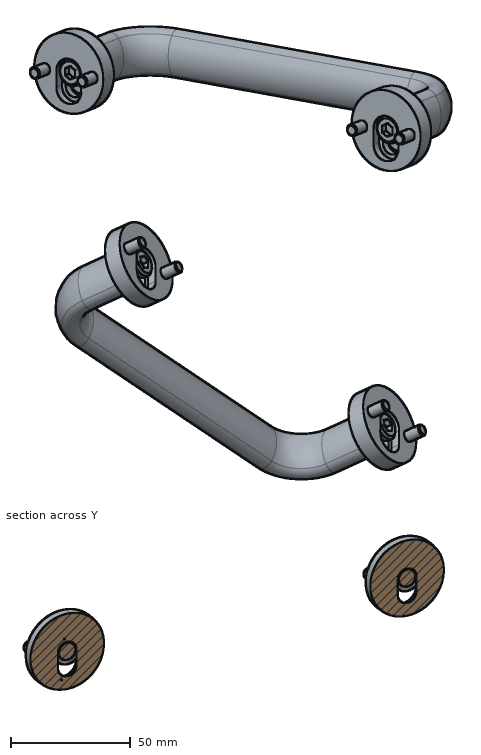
import cadquery as cq
import math

OVERALL_LENGTH = 195.0
OVERALL_DEPTH = 66.0
PLATE_DIAMETER = 35.0
PLATE_THICKNESS = 8.0
PIN_LENGTH = 8.0
HALF_SPACING = (OVERALL_LENGTH - PLATE_DIAMETER) / 2

GRIP_THICKNESS = 13.0
GRIP_HEIGHT = 21.0
GRIP_END_RADIUS = 4.7
BEND_RADIUS = 19.9
GRIP_AXIS_Y = OVERALL_DEPTH - PIN_LENGTH - GRIP_THICKNESS / 2

PIN_DIAMETER = 5.0
PIN_TIP_CHAMFER = 0.49
PIN_SPACING = 24.0

SLOT_TRAVEL = 7.0
SLOT_WIDTH = 8.5
SLOT_RECESS_WIDTH = 12.5
SLOT_RECESS_DEPTH = 4.0

HEAD_DIAMETER = 12.0
HEAD_FACE_DIAMETER = 10.0
HEAD_INSET = 1.0
SHANK_DIAMETER = 8.0
SOCKET_ACROSS_FLATS = 5.0
SOCKET_DEPTH = 3.0


def facing_wall(y):
    """Workplane at height y whose normal points to +Y; local x is X and local y is -Z."""
    return cq.Workplane("XZ", origin=(0, y, 0)).transformed(rotate=(180, 0, 0))


def cylinder(x, y_start, y_end, diameter):
    """Cylinder along +Y, centred on Z = 0."""
    return facing_wall(y_start).center(x, 0).circle(diameter / 2).extrude(y_end - y_start)


def oval_section(x, y):
    """Four-arc oval, thin along X and tall along Z, on a plane facing +Y."""
    half_thickness = GRIP_THICKNESS / 2
    half_height = GRIP_HEIGHT / 2
    end_centre = half_height - GRIP_END_RADIUS
    side_radius = (half_thickness**2 + end_centre**2 - GRIP_END_RADIUS**2) / (
        2 * (half_thickness - GRIP_END_RADIUS)
    )
    centre_distance = side_radius - GRIP_END_RADIUS
    joint_x = GRIP_END_RADIUS * (side_radius - half_thickness) / centre_distance
    joint_z = end_centre + GRIP_END_RADIUS * end_centre / centre_distance
    return (
        facing_wall(y)
        .center(x, 0)
        .moveTo(joint_x, -joint_z)
        .threePointArc((half_thickness, 0), (joint_x, joint_z))
        .threePointArc((0, half_height), (-joint_x, joint_z))
        .threePointArc((-half_thickness, 0), (-joint_x, -joint_z))
        .threePointArc((0, -half_height), (joint_x, -joint_z))
        .close()
    )


def grip():
    """Oval bar bent into a U, ending on the outer faces of the plates."""
    bend_start_x = HALF_SPACING - BEND_RADIUS
    bend_start_y = GRIP_AXIS_Y - BEND_RADIUS
    bend_mid = BEND_RADIUS * math.sqrt(0.5)
    path = (
        cq.Workplane("XY")
        .moveTo(-HALF_SPACING, PLATE_THICKNESS)
        .lineTo(-HALF_SPACING, bend_start_y)
        .threePointArc(
            (-bend_start_x - bend_mid, bend_start_y + bend_mid), (-bend_start_x, GRIP_AXIS_Y)
        )
        .lineTo(bend_start_x, GRIP_AXIS_Y)
        .threePointArc(
            (bend_start_x + bend_mid, bend_start_y + bend_mid), (HALF_SPACING, bend_start_y)
        )
        .lineTo(HALF_SPACING, PLATE_THICKNESS)
    )
    return oval_section(-HALF_SPACING, PLATE_THICKNESS).sweep(path)


def slot(x, depth, width):
    """Vertical slot cut from the mounting face, its upper end centred on the plate."""
    return (
        facing_wall(0)
        .center(x, SLOT_TRAVEL / 2)
        .slot2D(SLOT_TRAVEL + width, width, 90)
        .extrude(depth)
    )


def plate(x):
    """Round mounting plate with its stepped slot."""
    return (
        cylinder(x, 0, PLATE_THICKNESS, PLATE_DIAMETER)
        .cut(slot(x, PLATE_THICKNESS, SLOT_WIDTH))
        .cut(slot(x, SLOT_RECESS_DEPTH, SLOT_RECESS_WIDTH))
    )


def pin(x):
    """Locating pin with a chamfered tip."""
    return cylinder(x, -PIN_LENGTH, 0, PIN_DIAMETER).faces("<Y").chamfer(PIN_TIP_CHAMFER)


def screw(x):
    """Hexagon socket screw seated in the slot recess and joined to the end of the grip."""
    head = (
        cylinder(x, HEAD_INSET, SLOT_RECESS_DEPTH, HEAD_DIAMETER)
        .faces("<Y")
        .chamfer((HEAD_DIAMETER - HEAD_FACE_DIAMETER) / 2)
    )
    shank = cylinder(x, SLOT_RECESS_DEPTH, PLATE_THICKNESS, SHANK_DIAMETER)
    socket_across_corners = SOCKET_ACROSS_FLATS / math.cos(math.pi / 6)
    socket = (
        facing_wall(HEAD_INSET)
        .center(x, 0)
        .transformed(rotate=(0, 0, 90))
        .polygon(6, socket_across_corners)
        .extrude(SOCKET_DEPTH)
    )
    return head.union(shank).cut(socket)


result = grip()
for plate_x in (-HALF_SPACING, HALF_SPACING):
    result = result.union(plate(plate_x)).union(screw(plate_x))
    for pin_offset in (-PIN_SPACING / 2, PIN_SPACING / 2):
        result = result.union(pin(plate_x + pin_offset))